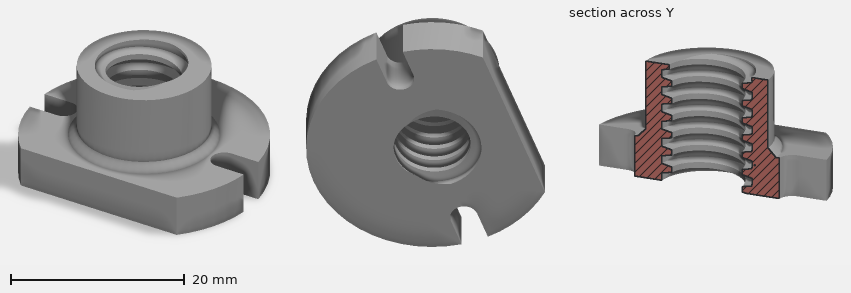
import cadquery as cq
import math

FLANGE_RADIUS = 14.5
FLANGE_THICKNESS = 5.02
FLAT_DISTANCE = 10.0
SLOT_WIDTH = 3.23
SLOT_INNER_REACH = 9.2

TOTAL_HEIGHT = 14.33
BOSS_RADIUS = 7.75
FOOT_SIZE = 1.0

CREST_RADIUS = 4.45
ROOT_RADIUS = 5.68
PITCH = 2.1
CREST_WIDTH = 0.7
FLANK_HEIGHT = 0.25
ROOT_WIDTH = PITCH - CREST_WIDTH - 2 * FLANK_HEIGHT
RUNOUT_ANGLE = -71
EXTRA_TURNS = 1
MOUTH_OVERLAP = 0.15

LEAD_IN_START = -30
LEAD_IN_END = 90
LEAD_IN_RADIUS = 5.65
LEAD_IN_DEPTH = 0.75


def flange():
    diameter = 2 * FLANGE_RADIUS
    disc = cq.Workplane("XY").circle(FLANGE_RADIUS).extrude(FLANGE_THICKNESS)
    beyond_flat = (
        cq.Workplane("XY")
        .center(0, -FLAT_DISTANCE - FLANGE_RADIUS / 2)
        .rect(diameter, FLANGE_RADIUS)
        .extrude(FLANGE_THICKNESS)
    )
    body = disc.cut(beyond_flat)
    slot_length = 2 * (FLANGE_RADIUS - SLOT_INNER_REACH)
    for side in (-1, 1):
        slot = (
            cq.Workplane("XY")
            .center(side * FLANGE_RADIUS, 0)
            .slot2D(slot_length, SLOT_WIDTH)
            .extrude(FLANGE_THICKNESS)
        )
        body = body.cut(slot)
    return body


def boss():
    foot_radius = BOSS_RADIUS + FOOT_SIZE
    foot_top = FLANGE_THICKNESS + FOOT_SIZE
    half_section = [
        (0, 0),
        (foot_radius, 0),
        (foot_radius, FLANGE_THICKNESS),
        (BOSS_RADIUS, foot_top),
        (BOSS_RADIUS, TOTAL_HEIGHT),
        (0, TOTAL_HEIGHT),
    ]
    return cq.Workplane("XZ").polyline(half_section).close().revolve(360, (0, 0), (0, 1))


def thread_groove():
    turns = int(TOTAL_HEIGHT / PITCH) + 1 + 2 * EXTRA_TURNS
    root_bottom = TOTAL_HEIGHT + PITCH * (EXTRA_TURNS - turns - RUNOUT_ANGLE / 360)
    root_top = root_bottom + ROOT_WIDTH
    inner_radius = CREST_RADIUS - MOUTH_OVERLAP
    flank_rise = FLANK_HEIGHT * (ROOT_RADIUS - inner_radius) / (ROOT_RADIUS - CREST_RADIUS)
    section = [
        (inner_radius, root_bottom - flank_rise),
        (ROOT_RADIUS, root_bottom),
        (ROOT_RADIUS, root_top),
        (inner_radius, root_top + flank_rise),
    ]
    helix = cq.Wire.makeHelix(PITCH, turns * PITCH, CREST_RADIUS, cq.Vector(0, 0, root_bottom))
    return cq.Workplane("XZ").polyline(section).close().sweep(cq.Workplane(helix), isFrenet=True)


def polar_point(radius, degrees):
    angle = math.radians(degrees)
    return radius * math.cos(angle), radius * math.sin(angle)


def lead_in():
    def spiral(t):
        radius = CREST_RADIUS + t * (LEAD_IN_RADIUS - CREST_RADIUS)
        return polar_point(radius, LEAD_IN_START + t * (LEAD_IN_END - LEAD_IN_START))

    root_exit = 360 + RUNOUT_ANGLE - 360 * ROOT_WIDTH / PITCH
    arc_middle = polar_point(LEAD_IN_RADIUS, (LEAD_IN_END + root_exit) / 2)
    return (
        cq.Workplane("XY", origin=(0, 0, TOTAL_HEIGHT))
        .parametricCurve(lambda t: (*spiral(t), 0), makeWire=False)
        .moveTo(*spiral(1))
        .threePointArc(arc_middle, polar_point(LEAD_IN_RADIUS, root_exit))
        .lineTo(0, 0)
        .lineTo(*spiral(0))
        .wire()
        .extrude(-LEAD_IN_DEPTH)
    )


bore = cq.Workplane("XY").circle(CREST_RADIUS).extrude(TOTAL_HEIGHT)
result = flange().union(boss()).cut(thread_groove()).cut(bore).cut(lead_in())